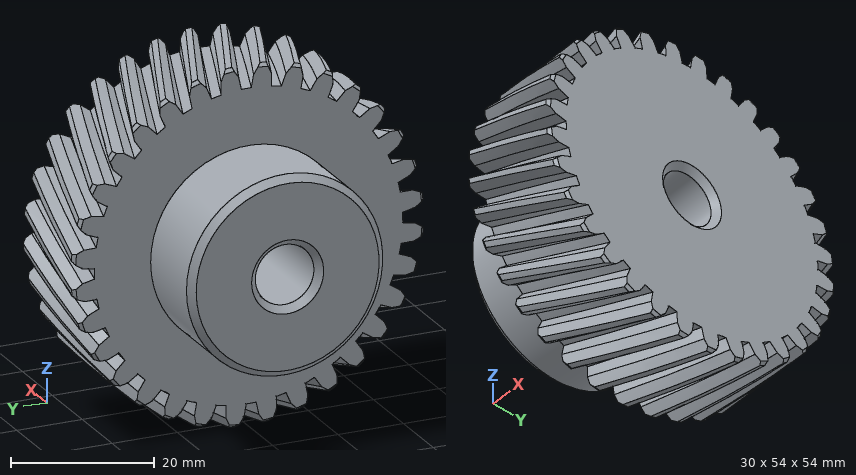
import math
import cadquery as cq


tooth_count = 32
tip_radius = 27.0
pitch_radius = 25.45
root_radius = 23.6
face_width = 17.0
tip_chamfer = 0.5
helix_angle = 21.0

root_half_gap = 0.75
pitch_half_gap = 1.15
shoulder_radius = 26.2
shoulder_half_gap = 1.6
tip_half_gap = 2.15
gap_phase = -0.9

total_length = 30.0
hub_length = total_length - face_width
hub_radius = 15.0
hub_chamfer = 1.0
bore_radius = 4.5
bore_chamfer = 1.0

tooth_angle = math.radians(360 / tooth_count)
twist = math.degrees(face_width * math.tan(math.radians(helix_angle)) / pitch_radius)


def polar(radius, angle):
    """Point in the YZ plane at an angle measured from +Y towards +Z."""
    return (radius * math.cos(angle), radius * math.sin(angle))


def flank_point(gap_center, radius, half_gap, side):
    """Point on one wall of a gap; side is -1 for the wall reached first, +1 for the other."""
    return polar(radius, gap_center + side * half_gap / radius)


def tooth_outline():
    """Closed outline of all teeth: straight lower flanks, rounded shoulders, arc lands."""
    first_center = math.radians(gap_phase)
    outline = cq.Workplane("YZ").moveTo(*flank_point(first_center, tip_radius, tip_half_gap, -1))
    for index in range(tooth_count):
        center = first_center + index * tooth_angle
        next_center = center + tooth_angle
        outline = (
            outline
            .threePointArc(
                flank_point(center, shoulder_radius, shoulder_half_gap, -1),
                flank_point(center, pitch_radius, pitch_half_gap, -1),
            )
            .lineTo(*flank_point(center, root_radius, root_half_gap, -1))
            .threePointArc(
                polar(root_radius, center),
                flank_point(center, root_radius, root_half_gap, 1),
            )
            .lineTo(*flank_point(center, pitch_radius, pitch_half_gap, 1))
            .threePointArc(
                flank_point(center, shoulder_radius, shoulder_half_gap, 1),
                flank_point(center, tip_radius, tip_half_gap, 1),
            )
            .threePointArc(
                polar(tip_radius, center + tooth_angle / 2),
                flank_point(next_center, tip_radius, tip_half_gap, -1),
            )
        )
    return outline.close()


def make_rim():
    """Twisted teeth trimmed by a disc whose two edges are chamfered."""
    teeth = tooth_outline().twistExtrude(face_width, twist)
    blank = cq.Workplane("YZ").circle(tip_radius).extrude(face_width).edges().chamfer(tip_chamfer)
    return teeth.intersect(blank)


def make_hub():
    """Plain cylinder on the -X side with a chamfered free end."""
    hub = cq.Workplane("YZ").circle(hub_radius).extrude(-hub_length)
    return hub.faces("<X").edges().chamfer(hub_chamfer)


def make_bore():
    """Through bore with a chamfer at each end, as a solid of revolution about X."""
    half_profile = [
        (-hub_length, 0),
        (-hub_length, bore_radius + bore_chamfer),
        (-hub_length + bore_chamfer, bore_radius),
        (face_width - bore_chamfer, bore_radius),
        (face_width, bore_radius + bore_chamfer),
        (face_width, 0),
    ]
    return cq.Workplane("XY").polyline(half_profile).close().revolve(360, (0, 0, 0), (1, 0, 0))


result = make_rim().union(make_hub()).cut(make_bore())